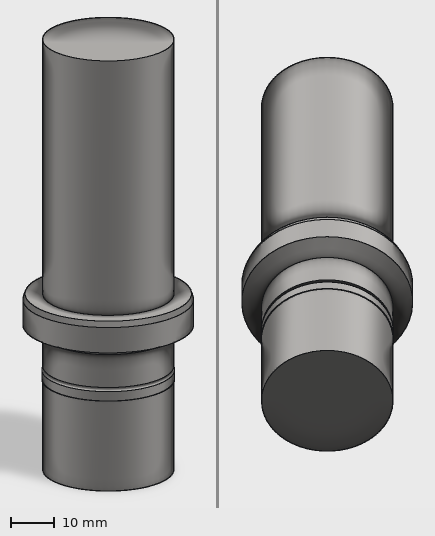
import cadquery as cq

shaft_radius = 15.0
collar_radius = 19.5
band_radius = 15.15
groove_radius = 11.8

collar_chamfer_width = .5
collar_chamfer_height = 1.37
taper_height = 2.0

total_height = 104.0
lower_shank_height = 21.8
band_height = 2.3
groove_height = 0.95
upper_shank_height = 7.95
collar_height = 9.5

band_top = lower_shank_height + band_height
groove_top = band_top + groove_height
collar_bottom = groove_top + upper_shank_height
taper_top = collar_bottom + taper_height
collar_top = collar_bottom + collar_height
chamfer_bottom = collar_top - collar_chamfer_height
collar_face_radius = collar_radius - collar_chamfer_width


def half_profile():
    """Closed half section in the XZ plane, from the axis outwards."""
    return (
        cq.Workplane("XZ")
        .moveTo(0, 0)
        .lineTo(shaft_radius, 0)
        .lineTo(shaft_radius, lower_shank_height)
        .lineTo(band_radius, lower_shank_height)
        .lineTo(band_radius, band_top)
        .lineTo(groove_radius, band_top)
        .lineTo(groove_radius, groove_top)
        .lineTo(shaft_radius, groove_top)
        .lineTo(shaft_radius, collar_bottom)
        .lineTo(collar_radius, taper_top)
        .lineTo(collar_radius, chamfer_bottom)
        .lineTo(collar_face_radius, collar_top)
        .lineTo(shaft_radius, collar_top)
        .lineTo(shaft_radius, total_height)
        .lineTo(0, total_height)
        .close()
    )


result = half_profile().revolve(360, (0, 0, 0), (0, 1, 0))